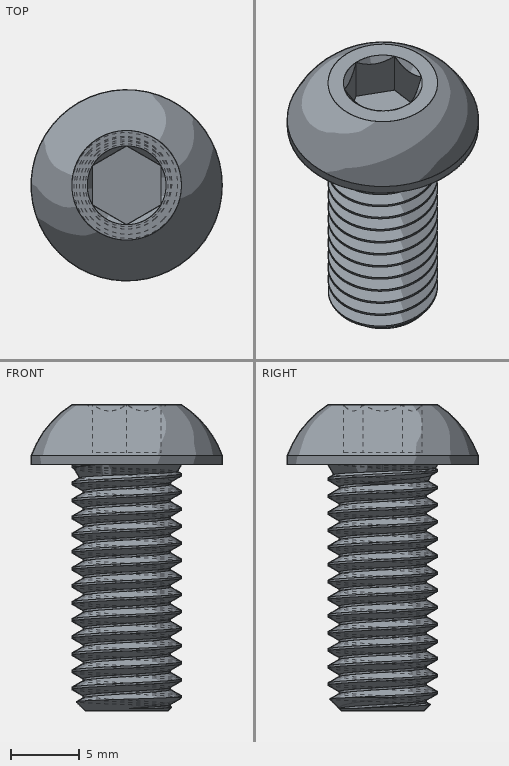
import cadquery as cq
import math

total_length = 22.4

head_diameter = 14.0
head_radius = head_diameter / 2
head_height = 4.4
rim_height = 0.67
head_flat_radius = 4.0

socket_across_flats = 5.0
socket_depth = 3.5
countersink_half_angle = 40.0

crest_radius = 4.0
root_radius = 3.2
ten_turn_length = 12.5
pitch = ten_turn_length / 10
crest_width = pitch / 8
flank_angle = 30.0
crest_height_on_x = 17.27
tip_radius = 3.02
neck_half_angle = 30.0
neck_small_radius = 3.14
head_embed = 0.22
ridge_embed = 0.07
core_overrun = 5.6
envelope_clearance = 0.45

head_base = total_length - head_height


def make_head():
    """Domed head whose spherical face is centred on the screw axis."""
    rim_top = head_base + rim_height
    dome_height = total_length - rim_top
    radius_term = (head_radius**2 - head_flat_radius**2) / dome_height
    dome_centre = (total_length + rim_top - radius_term) / 2
    dome_radius = math.hypot(head_flat_radius, total_length - dome_centre)
    middle_height = (total_length + rim_top) / 2
    middle_radius = math.sqrt(dome_radius**2 - (middle_height - dome_centre) ** 2)
    return (
        cq.Workplane("XZ")
        .moveTo(0, head_base)
        .lineTo(head_radius, head_base)
        .lineTo(head_radius, rim_top)
        .threePointArc((middle_radius, middle_height), (head_flat_radius, total_length))
        .lineTo(0, total_length)
        .close()
        .revolve(360, (0, 0, 0), (0, 1, 0))
    )


def make_socket():
    """Blind hexagon with two corners on the Y axis and a conical lead-in."""
    corner_radius = socket_across_flats / math.sqrt(3)
    hexagon = (
        cq.Workplane("XY", origin=(0, 0, total_length))
        .transformed(rotate=(0, 0, 90))
        .polygon(6, 2 * corner_radius)
        .extrude(-socket_depth)
    )
    cone_depth = corner_radius / math.tan(math.radians(countersink_half_angle))
    cone = cq.Solid.makeCone(
        corner_radius, 0, cone_depth, cq.Vector(0, 0, total_length), cq.Vector(0, 0, -1)
    )
    lead_in_depth = cone_depth * (1 - socket_across_flats / (2 * corner_radius))
    lead_in_range = (
        cq.Workplane("XY", origin=(0, 0, total_length))
        .circle(corner_radius)
        .extrude(-lead_in_depth)
    )
    lead_in = cq.Workplane(cone).intersect(lead_in_range)
    return hexagon.union(lead_in)


def make_threaded_rod():
    """Core with a helical ridge, long enough to run past both ends of the shank."""
    flank_slope = math.tan(math.radians(flank_angle))
    foot_radius = root_radius - ridge_embed
    half_crest = crest_width / 2
    half_foot = half_crest + (crest_radius - foot_radius) * flank_slope
    turns_below = math.ceil(crest_height_on_x / pitch) + 1
    start = crest_height_on_x - turns_below * pitch
    turns = math.ceil((head_base - start) / pitch) + 1
    helix = cq.Wire.makeHelix(pitch, turns * pitch, foot_radius, cq.Vector(0, 0, start))
    ridge = (
        cq.Workplane("XZ")
        .polyline(
            [
                (foot_radius, start - half_foot),
                (crest_radius, start - half_crest),
                (crest_radius, start + half_crest),
                (foot_radius, start + half_foot),
            ]
        )
        .close()
        .sweep(cq.Workplane(helix), isFrenet=True)
    )
    core = (
        cq.Workplane("XY", origin=(0, 0, -core_overrun))
        .circle(root_radius)
        .extrude(head_base + 2 * core_overrun)
    )
    return core.union(ridge)


def make_shank():
    """Threaded shank with a chamfered tip and a conical thread run-out at the head."""
    shank_top = head_base + head_embed
    envelope_radius = crest_radius + envelope_clearance
    envelope = (
        cq.Workplane("XY")
        .circle(envelope_radius)
        .extrude(shank_top)
        .faces("<Z")
        .chamfer(envelope_radius - tip_radius)
    )
    neck_slope = math.tan(math.radians(neck_half_angle))
    neck_bottom = head_base - (crest_radius - neck_small_radius) / neck_slope
    neck_top_radius = crest_radius + head_embed * neck_slope
    neck = cq.Solid.makeCone(
        neck_small_radius, neck_top_radius, shank_top - neck_bottom, cq.Vector(0, 0, neck_bottom)
    )
    return make_threaded_rod().intersect(envelope).union(cq.Workplane(neck))


result = make_shank().union(make_head()).cut(make_socket())